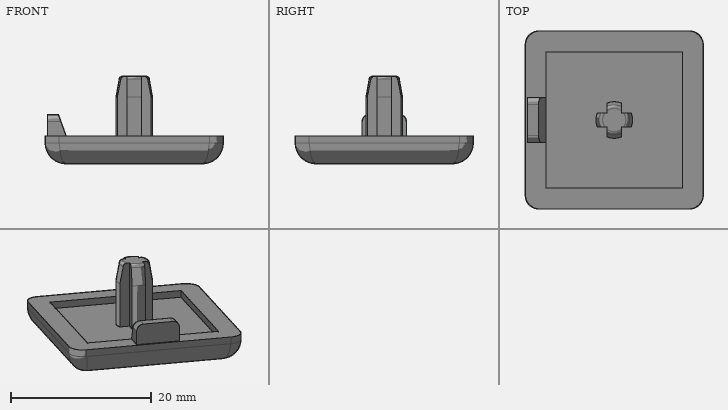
import cadquery as cq
import math

base_side = 25.4
base_height = 4.0
base_corner_radius = 2.0
base_bottom_radius = 3.0

pocket_side = 19.41
pocket_depth = 1.0
pocket_floor_z = base_height - pocket_depth

stem_diameter = 5.22
stem_arm_width = 2.0
stem_top_z = 12.5
stem_taper_height = 3.0
stem_taper_angle = 10.0
stem_tip_radius = 0.5

catch_edge_gap = 0.3
catch_height = 3.0
catch_length = 6.35
catch_slope_angle = 20.0
catch_corner_radius = 1.0


def make_base():
    """Square plate with rounded bottom edges, then rounded upright corners."""
    plate = cq.Workplane("XY").box(base_side, base_side, base_height, centered=(True, True, False))
    plate = plate.faces("<Z").edges().fillet(base_bottom_radius)
    plate = plate.edges("|Z").fillet(base_corner_radius)
    pocket = (
        cq.Workplane("XY", origin=(0, 0, pocket_floor_z))
        .rect(pocket_side, pocket_side)
        .extrude(pocket_depth)
    )
    return plate.cut(pocket)


def make_stem():
    """Round pin with a tapered, rounded tip, trimmed to a cross section."""
    radius = stem_diameter / 2
    tip_radius = radius - stem_taper_height * math.tan(math.radians(stem_taper_angle))
    pin = (
        cq.Workplane("XZ")
        .moveTo(0, pocket_floor_z)
        .lineTo(radius, pocket_floor_z)
        .lineTo(radius, stem_top_z - stem_taper_height)
        .lineTo(tip_radius, stem_top_z)
        .lineTo(0, stem_top_z)
        .close()
        .revolve(360, (0, 0, 0), (0, 1, 0))
        .faces(">Z")
        .edges()
        .fillet(stem_tip_radius)
    )
    arms = cq.Workplane("XY").box(stem_diameter, stem_arm_width, stem_top_z, centered=(True, True, False))
    cross = arms.union(arms.rotate((0, 0, 0), (0, 0, 1), 90))
    return pin.intersect(cross)


def make_catch():
    """Wedge with an upright outer face and a slope down to the pocket edge."""
    outer_x = -base_side / 2 + catch_edge_gap
    inner_x = -pocket_side / 2
    catch_top_z = base_height + catch_height
    top_inner_x = inner_x - catch_height * math.tan(math.radians(catch_slope_angle))
    wedge = (
        cq.Workplane("XZ")
        .moveTo(outer_x, base_height)
        .lineTo(inner_x, base_height)
        .lineTo(top_inner_x, catch_top_z)
        .lineTo(outer_x, catch_top_z)
        .close()
        .extrude(catch_length / 2, both=True)
    )
    return wedge.faces(">Z").edges("|X").fillet(catch_corner_radius)


result = make_base().union(make_stem()).union(make_catch())